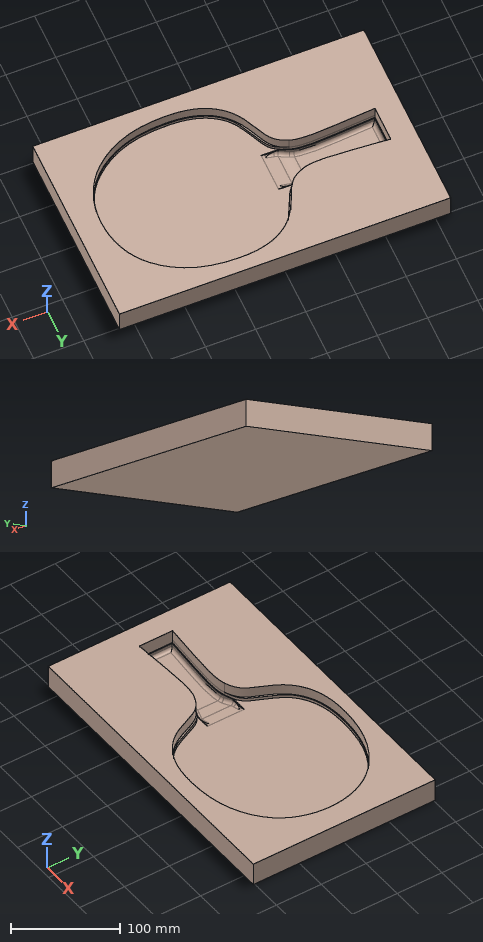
import cadquery as cq
import math

LENGTH = 330.2
WIDTH = 203.0
HEIGHT = 25.5

RIM_DEPTH = 11.2
BLADE_DEPTH = 14.5
BAND_DEPTH = 15.5
GRIP_DEPTH = 21.0

AXIS_Y = 1.3
TIP_X = 140.7
LEDGE_WIDTH = 1.0
NECK_LEDGE_WIDTH = 2.0

GRIP_SIDE = [(-140.0, 18.5), (-115.5, 17.0), (-89.0, 15.0), (-67.7, 14.5), (-53.8, 17.0)]
NECK_SIDE = [(-40.3, 25.0), (-33.5, 36.3), (-26.7, 51.0)]
SHOULDER = [(-17.5, 64.7), (0.5, 78.3)]
BLADE_WIDEST_POINT = (44.5, 85.5)
BLADE_SIDE = [(82.2, 79.2), (109.5, 64.7), (127.8, 45.5)]
GRIP_START_SLOPE = (1, -0.07)
NECK_SLOPE = (1, 0.35)

BAND_INSET = 1.0
FLOOR_FILLET = 3.5
FLARE_X = -40.3
FLARE_HALF_WIDTH = 21.0
RECESS_END_X = -21.5
BLEND_START_X = -56.8
BLEND_HALF_LENGTH = 7.3
RAMP_END_X = -27.5


def both_halves(upper_half):
    """Join a solid on the +Y side of the racket axis with its reflection."""
    return upper_half.union(upper_half.mirror("XZ"))


def grip_to_neck(sketch, inset=0):
    """Draw the upper half of the grip from the axis to the neck."""
    side = [(x, y - inset) for x, y in GRIP_SIDE]
    end_x = GRIP_SIDE[0][0] + inset
    tangents = [GRIP_START_SLOPE, NECK_SLOPE]
    return (
        sketch.moveTo(end_x, 0)
        .lineTo(end_x, side[0][1])
        .spline(side[1:], tangents=tangents, scale=False, includeCurrent=True)
    )


def racket_pocket(depth, ledge=0, neck_ledge=0):
    """Racket-shaped pocket, its blade drawn in by the ledge widths."""
    side = [(x + neck_ledge, y) for x, y in NECK_SIDE]
    side += [(x + ledge, y - ledge / 2) for x, y in SHOULDER]
    side.append((BLADE_WIDEST_POINT[0], BLADE_WIDEST_POINT[1] - ledge))
    side += [(x - ledge / 2, y - ledge / 2) for x, y in BLADE_SIDE]
    side.append((TIP_X - ledge, 0))
    upper_half = (
        grip_to_neck(cq.Workplane("XY"))
        .spline(side, tangents=[NECK_SLOPE, (0, -1)], scale=False, includeCurrent=True)
        .close()
        .extrude(-depth)
    )
    return both_halves(upper_half)


def recess_outline(sketch, inset=0):
    """Draw the upper half of the recess, which flares a little past the neck."""
    flare_point = (FLARE_X, FLARE_HALF_WIDTH - inset)
    return (
        grip_to_neck(sketch, inset)
        .spline([flare_point], tangents=[NECK_SLOPE, (1, 0)], scale=False, includeCurrent=True)
        .lineTo(RECESS_END_X, FLARE_HALF_WIDTH - inset)
        .lineTo(RECESS_END_X, 0)
        .close()
    )


def space_above_floor():
    """Side profile of the recess: flat floor, rounded blend and straight ramp."""
    bend_x = BLEND_START_X + BLEND_HALF_LENGTH
    ramp_angle = math.atan2(GRIP_DEPTH - BLADE_DEPTH, RAMP_END_X - bend_x)
    blend_end_x = bend_x + BLEND_HALF_LENGTH * math.cos(ramp_angle)
    blend_end_z = BLEND_HALF_LENGTH * math.sin(ramp_angle) - GRIP_DEPTH
    end_z = (RECESS_END_X - bend_x) * math.tan(ramp_angle) - GRIP_DEPTH
    return (
        cq.Workplane("XZ")
        .moveTo(GRIP_SIDE[0][0], -RIM_DEPTH)
        .lineTo(GRIP_SIDE[0][0], -GRIP_DEPTH)
        .lineTo(BLEND_START_X, -GRIP_DEPTH)
        .tangentArcPoint((blend_end_x, blend_end_z), relative=False)
        .lineTo(RECESS_END_X, end_z)
        .lineTo(RECESS_END_X, -RIM_DEPTH)
        .close()
        .extrude(WIDTH / 2, both=True)
    )


class FloorRimSelector(cq.Selector):
    """Picks the floor edges that run along the sides and the grip end."""

    def filter(self, edges):
        rim = []
        for edge in edges:
            box = edge.BoundingBox()
            below_rim = box.zmax < -RIM_DEPTH - 0.3
            crosses_axis = box.ymin < 0 < box.ymax
            at_grip_end = box.xmax < GRIP_SIDE[1][0]
            if below_rim and (at_grip_end or not crosses_axis):
                rim.append(edge)
        return rim


def grip_recess():
    """Recess with a sloped band below the rim and a filleted floor."""
    above_floor = space_above_floor()
    band = recess_outline(cq.Workplane("XY").workplane(offset=-RIM_DEPTH))
    band = recess_outline(band.workplane(offset=RIM_DEPTH - BAND_DEPTH), BAND_INSET)
    band = both_halves(band.loft(ruled=True)).intersect(above_floor)
    trough = recess_outline(cq.Workplane("XY").workplane(offset=-RIM_DEPTH), BAND_INSET)
    trough = both_halves(trough.extrude(RIM_DEPTH - GRIP_DEPTH)).intersect(above_floor)
    trough = trough.edges(FloorRimSelector()).fillet(FLOOR_FILLET)
    return trough.union(band)


block = cq.Workplane("XY").box(LENGTH, WIDTH, HEIGHT, centered=(True, True, False))
block = block.translate((0, -AXIS_Y, -HEIGHT))
result = (
    block.cut(racket_pocket(RIM_DEPTH))
    .cut(racket_pocket(BLADE_DEPTH, LEDGE_WIDTH, NECK_LEDGE_WIDTH))
    .cut(grip_recess())
    .translate((0, AXIS_Y, 0))
)